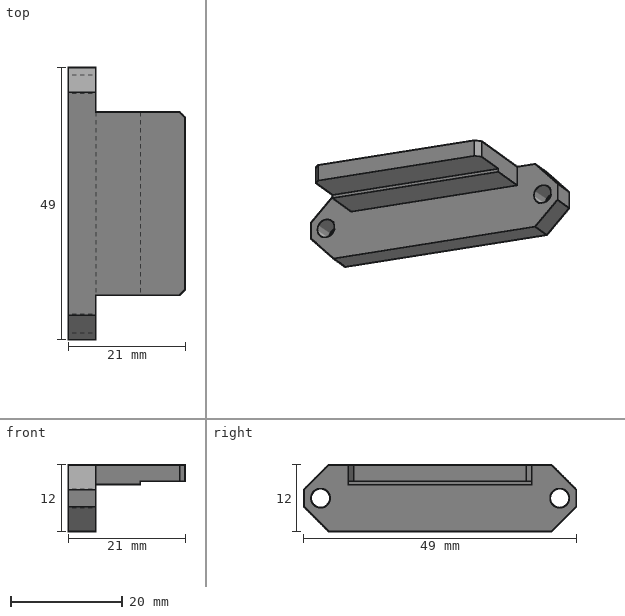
import cadquery as cq

plate_thickness = 5.0
plate_length = 49.0
plate_height = 12.0
plate_chamfer = 4.45
hole_diameter = 3.4
hole_spacing = 43.0

total_depth = 21.0
tongue_width = 33.0
tongue_thickness = 3.0
tongue_chamfer = 1.0

root_thickness = 3.6
root_end = 13.0

top = plate_height / 2


def make_plate():
    """Plate with four chamfered corners and a through hole near each end."""
    plate = (
        cq.Workplane("XY")
        .box(plate_thickness, plate_length, plate_height, centered=(False, True, True))
        .edges("|X")
        .chamfer(plate_chamfer)
    )
    half_spacing = hole_spacing / 2
    return (
        plate.faces("<X")
        .workplane(origin=(0, 0, 0))
        .pushPoints([(-half_spacing, 0), (half_spacing, 0)])
        .hole(hole_diameter)
    )


def make_slab(depth, thickness):
    """Slab hanging from the top level, reaching from the outer plate face to depth."""
    return (
        cq.Workplane("XY", origin=(0, 0, top - thickness))
        .box(depth, tongue_width, thickness, centered=(False, True, False))
    )


tongue = make_slab(total_depth, tongue_thickness).edges("|Z and >X").chamfer(tongue_chamfer)
root = make_slab(root_end, root_thickness)

result = make_plate().union(tongue).union(root)